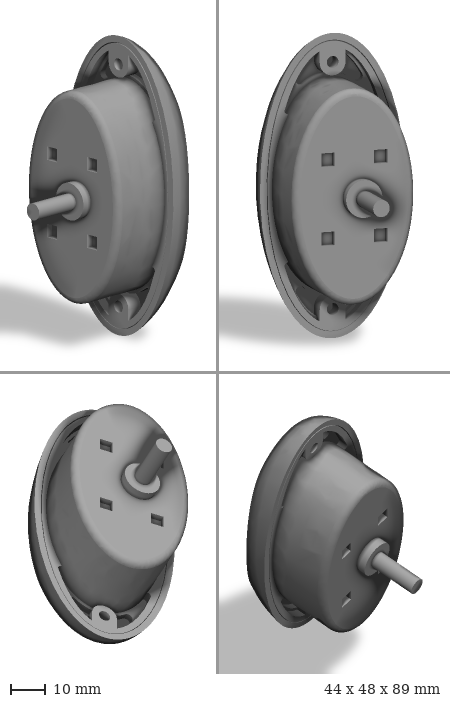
import math

import cadquery as cq


CAP_WIDTH = 44.0
CAP_LENGTH = 89.0
CREST_HEIGHT = 11.0
CREST_HALF_LENGTH = 31.5
SADDLE_HEIGHT = 8.0
SADDLE_HALF_WIDTH = 20.5
END_ARC_RADIUS = 15.5
SIDE_ARC_RADIUS = 40.0
DOME_SECTIONS = 8
DOME_OVERSHOOT = 0.05

HOUSING_HALF_WIDTH = 18.4
HOUSING_HALF_LENGTH = 31.5
HOUSING_DEPTH = 19.0
HOUSING_FILLET = 2.0

SHAFT_X = 2.0
COLLAR_RADIUS = 5.5
COLLAR_LENGTH = 3.0
SHAFT_RADIUS = 2.5
SHAFT_LENGTH = 15.0

SOCKET_SIZE = 4.0
SOCKET_DEPTH = 2.0
SOCKET_SPACING_X = 16.0
SOCKET_SPACING_Z = 23.0

GROOVE_HALF_WIDTH = 20.0
GROOVE_HALF_LENGTH = 42.5
GROOVE_GAP = 0.25
GROOVE_DEPTH = 1.0

SCREW_Z = 36.0
BOSS_RADIUS = 3.9
SCREW_HOLE_DIAMETER = 3.5
SCREW_HOLE_DEPTH = 5.0

POCKET_HALF_WIDTH = 17.6
POCKET_HALF_LENGTH = 40.4
POCKET_TIP_Z = 21.6
POCKET_TIP_RADIUS = 1.0
LEDGE_DEPTH = 3.0
LEDGE_WIDTH = 1.0
HOUSING_OVERLAP = 0.5
POCKET_DEPTH = 5.0
LOBE_Z = 29.4
LOBE_RADIUS = 1.4


def rear_plane(y=0.0):
    """Plane parallel to the mounting face, facing -Y, with X right and Z up."""
    return cq.Workplane("XZ", origin=(0, y, 0))


def arc_centre(inset, height, radius):
    """Centre of the outward-bulging arc from (0, 0) to (inset, height)."""
    chord = math.hypot(inset, height)
    reach = math.sqrt(radius**2 - (chord / 2) ** 2)
    return inset / 2 + reach * height / chord, height / 2 - reach * inset / chord


def arc_inset(height, centre, radius):
    """Distance the arc has moved in from the rim at a given height."""
    return centre[0] - math.sqrt(radius**2 - (height - centre[1]) ** 2)


def make_dome():
    """Stack of ellipses whose two half axes shrink along circular arcs."""
    end_centre = arc_centre(CAP_LENGTH / 2 - CREST_HALF_LENGTH, CREST_HEIGHT, END_ARC_RADIUS)
    side_centre = arc_centre(CAP_WIDTH / 2 - SADDLE_HALF_WIDTH, SADDLE_HEIGHT, SIDE_ARC_RADIUS)
    top = CREST_HEIGHT + DOME_OVERSHOOT
    start_angle = math.asin(-end_centre[1] / END_ARC_RADIUS)
    end_angle = math.asin((top - end_centre[1]) / END_ARC_RADIUS)
    sections = []
    for index in range(DOME_SECTIONS):
        angle = start_angle + (end_angle - start_angle) * index / (DOME_SECTIONS - 1)
        height = end_centre[1] + END_ARC_RADIUS * math.sin(angle)
        half_width = CAP_WIDTH / 2 - arc_inset(height, side_centre, SIDE_ARC_RADIUS)
        half_length = CAP_LENGTH / 2 - arc_inset(height, end_centre, END_ARC_RADIUS)
        sections.append(rear_plane(height).ellipse(half_width, half_length).val())
    return cq.Workplane(cq.Solid.makeLoft(sections))


def make_saddle_cutter():
    """Cylinder across the cap that hollows the top between the two crests."""
    sag = CREST_HEIGHT - SADDLE_HEIGHT
    radius = (CREST_HALF_LENGTH**2 + sag**2) / (2 * sag)
    return (
        cq.Workplane("YZ")
        .center(SADDLE_HEIGHT + radius, 0)
        .circle(radius)
        .extrude(CAP_WIDTH / 2, both=True)
    )


def make_housing():
    """Oval housing, rooted in the cap at the level of the pocket ledges."""
    return (
        rear_plane(LEDGE_DEPTH)
        .ellipse(HOUSING_HALF_WIDTH, HOUSING_HALF_LENGTH)
        .extrude(LEDGE_DEPTH + HOUSING_DEPTH)
        .faces("<Y")
        .edges()
        .fillet(HOUSING_FILLET)
    )


def make_shaft():
    """Shaft standing on its wider collar."""
    collar = rear_plane(-HOUSING_DEPTH).center(SHAFT_X, 0).circle(COLLAR_RADIUS).extrude(COLLAR_LENGTH)
    shaft = (
        rear_plane(-HOUSING_DEPTH)
        .center(SHAFT_X, 0)
        .circle(SHAFT_RADIUS)
        .extrude(COLLAR_LENGTH + SHAFT_LENGTH)
    )
    return collar.union(shaft)


def make_sockets():
    """Four square sockets sunk into the housing face."""
    return (
        rear_plane(-HOUSING_DEPTH)
        .rarray(SOCKET_SPACING_X, SOCKET_SPACING_Z, 2, 2)
        .rect(SOCKET_SIZE, SOCKET_SIZE)
        .extrude(-SOCKET_DEPTH)
    )


def make_groove():
    """Thin oval ring sunk into the mounting face."""
    return (
        rear_plane()
        .ellipse(GROOVE_HALF_WIDTH, GROOVE_HALF_LENGTH)
        .ellipse(GROOVE_HALF_WIDTH - GROOVE_GAP, GROOVE_HALF_LENGTH - GROOVE_GAP)
        .extrude(-GROOVE_DEPTH)
    )


def make_boss(depth):
    """U-shaped boss around the upper screw, open toward the end of the oval."""
    top = CAP_LENGTH / 2
    return (
        rear_plane()
        .moveTo(-BOSS_RADIUS, top)
        .lineTo(-BOSS_RADIUS, SCREW_Z)
        .threePointArc((0, SCREW_Z - BOSS_RADIUS), (BOSS_RADIUS, SCREW_Z))
        .lineTo(BOSS_RADIUS, top)
        .close()
        .extrude(-depth)
    )


def make_crescent(outer_step, inner_step, depth, tip_z, corner_radius):
    """Upper crescent with rounded tips.

    It is stepped in from the pocket outline and stepped out from the housing.
    """
    outer = (
        rear_plane()
        .ellipse(POCKET_HALF_WIDTH - outer_step, POCKET_HALF_LENGTH - outer_step)
        .extrude(-depth)
    )
    inner = (
        rear_plane()
        .ellipse(HOUSING_HALF_WIDTH + inner_step, HOUSING_HALF_LENGTH + inner_step)
        .extrude(-depth)
    )
    end_zone = (
        rear_plane()
        .center(0, tip_z + CAP_LENGTH / 2)
        .rect(CAP_WIDTH, CAP_LENGTH)
        .extrude(-depth)
    )
    crescent = outer.cut(inner).intersect(end_zone)
    tips = crescent.faces("<Z").edges("<X or >X")
    return tips.fillet(corner_radius).cut(make_boss(depth))


def make_end_pocket():
    """Upper pocket: shallow ledge, deeper floor and screw hole."""
    shallow = make_crescent(0.0, -HOUSING_OVERLAP, LEDGE_DEPTH, POCKET_TIP_Z, POCKET_TIP_RADIUS)
    deep = make_crescent(LEDGE_WIDTH, LEDGE_WIDTH, POCKET_DEPTH, LOBE_Z, LOBE_RADIUS)
    hole = rear_plane().center(0, SCREW_Z).circle(SCREW_HOLE_DIAMETER / 2).extrude(-SCREW_HOLE_DEPTH)
    return shallow.union(deep).union(hole)


end_pocket = make_end_pocket()
cap = (
    make_dome()
    .cut(make_saddle_cutter())
    .cut(make_groove())
    .cut(end_pocket)
    .cut(end_pocket.mirror("XY"))
)
result = cap.union(make_housing()).cut(make_sockets()).union(make_shaft())